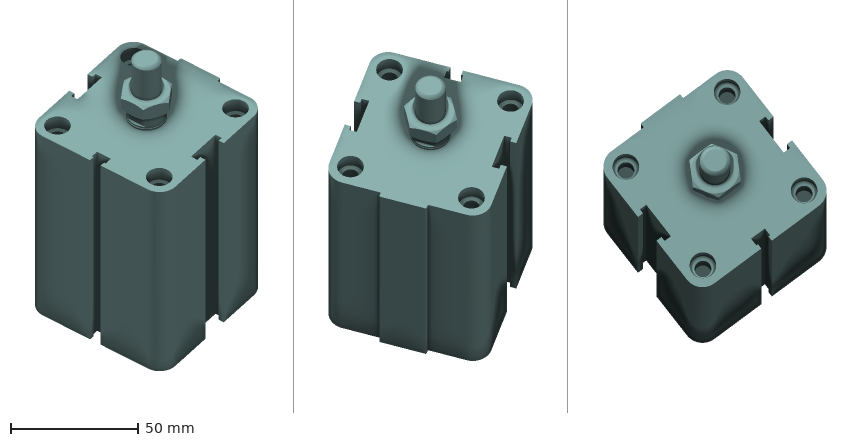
import cadquery as cq
import math


HOUSING_SIDE = 67.0
CORNER_RADIUS = 7.7
HALF_SIDE = HOUSING_SIDE / 2
CAP_HEIGHT = 14.4
BARREL_HEIGHT = 66.6
HOUSING_HEIGHT = BARREL_HEIGHT + 2 * CAP_HEIGHT

RAIL_WIDTH = 19.5
RAIL_HEIGHT = 2.0
RAIL_EDGE_RADIUS = 0.5

SIDE_SLOT = {"mouth": 12.0, "width": 16.0, "lip": 2.5, "depth": 5.6}
FRONT_SLOT = {"mouth": 5.2, "width": 6.8, "lip": 2.2, "depth": 5.6}

HOLE_SPACING = 50.0
COUNTERBORE_DIAMETER = 10.5
COUNTERBORE_DEPTH = 6.2
SCREW_HOLE_DIAMETER = 6.65

ROD_DIAMETER = 16.0
NECK_DIAMETER = 15.6
NECK_START = 1.0
NECK_CHAMFER = (ROD_DIAMETER - NECK_DIAMETER) / 2
FLATS_ACROSS = 13.0
FLATS_START = 1.8
SHOULDER_HEIGHT = 7.5
STUD_DIAMETER = 12.0
STUD_TIP_DIAMETER = 9.0
STUD_TIP_HEIGHT = 1.2
STUD_TIP_RADIUS = 3.0
ROD_HEIGHT = 31.4

NUT_ACROSS_FLATS = 19.0
NUT_THICKNESS = 7.0
NUT_ACROSS_CORNERS = NUT_ACROSS_FLATS / math.cos(math.pi / 6)
NUT_FACE_DIAMETER = 18.8
NUT_COUNTERSINK = 0.25
NUT_COUNTERSINK_ANGLE = 90
NUT_CHAMFER_ANGLE = math.radians(30)


def t_slot(mouth, width, lip, depth, angle):
    """T-slot cutter for the -Y face, turned about Z to another face by angle."""
    neck = cq.Workplane("XY").box(mouth, depth, HOUSING_HEIGHT, centered=(True, False, False))
    head = (
        cq.Workplane("XY")
        .box(width, depth - lip, HOUSING_HEIGHT, centered=(True, False, False))
        .translate((0, lip, 0))
    )
    cutter = neck.union(head).translate((0, -HALF_SIDE, 0))
    return cutter.rotate((0, 0, 0), (0, 0, 1), angle)


def profile_section(bottom, height):
    """Length of the slotted housing profile from Z = bottom."""
    block = (
        cq.Workplane("XY", origin=(0, 0, bottom))
        .rect(HOUSING_SIDE, HOUSING_SIDE)
        .extrude(height)
        .edges("|Z")
        .fillet(CORNER_RADIUS)
    )
    rail = (
        cq.Workplane("XY", origin=(0, 0, bottom))
        .rect(RAIL_WIDTH, HOUSING_SIDE + 2 * RAIL_HEIGHT)
        .extrude(height)
        .edges("|Z")
        .fillet(RAIL_EDGE_RADIUS)
        .intersect(
            cq.Workplane("XY", origin=(0, 0, bottom))
            .box(RAIL_WIDTH, HOUSING_SIDE, height, centered=(True, False, False))
        )
    )
    section = block.union(rail)
    section = section.cut(t_slot(**FRONT_SLOT, angle=0))
    for angle in (-90, 90):
        section = section.cut(t_slot(**SIDE_SLOT, angle=angle))
    return section


def make_housing():
    """Bottom cap, barrel and top cap as one solid, keeping the seams between them."""
    housing = profile_section(0, CAP_HEIGHT)
    housing = housing.union(profile_section(CAP_HEIGHT, BARREL_HEIGHT), clean=False)
    top_cap = (
        profile_section(CAP_HEIGHT + BARREL_HEIGHT, CAP_HEIGHT)
        .faces(">Z")
        .workplane(origin=(0, 0, HOUSING_HEIGHT))
        .rect(HOLE_SPACING, HOLE_SPACING, forConstruction=True)
        .vertices()
        .cboreHole(SCREW_HOLE_DIAMETER, COUNTERBORE_DIAMETER, COUNTERBORE_DEPTH, CAP_HEIGHT)
    )
    return housing.union(top_cap, clean=False)


def make_rod():
    """Rod standing on the housing, with wrench flats and a crowned stud end."""
    rod = (
        cq.Workplane("XY")
        .circle(ROD_DIAMETER / 2)
        .extrude(NECK_START)
        .faces(">Z")
        .chamfer(NECK_CHAMFER)
    )
    neck = cq.Workplane("XY").circle(NECK_DIAMETER / 2).extrude(SHOULDER_HEIGHT)
    flats = (
        cq.Workplane("XY", origin=(0, 0, FLATS_START))
        .rect(ROD_DIAMETER, ROD_DIAMETER)
        .rect(ROD_DIAMETER, FLATS_ACROSS)
        .extrude(SHOULDER_HEIGHT - FLATS_START)
    )
    stud = (
        cq.Workplane("XZ")
        .lineTo(STUD_DIAMETER / 2, 0)
        .lineTo(STUD_DIAMETER / 2, ROD_HEIGHT - STUD_TIP_HEIGHT)
        .radiusArc((STUD_TIP_DIAMETER / 2, ROD_HEIGHT), -STUD_TIP_RADIUS)
        .lineTo(0, ROD_HEIGHT)
        .close()
        .revolve()
    )
    rod = rod.union(neck.cut(flats)).union(stud)
    return rod.translate((0, 0, HOUSING_HEIGHT))


def make_nut():
    """Hexagon nut with its corners turned off conically on both faces."""
    corner_radius = NUT_ACROSS_CORNERS / 2
    face_radius = NUT_FACE_DIAMETER / 2
    chamfer_height = (corner_radius - face_radius) * math.tan(NUT_CHAMFER_ANGLE)
    turned_blank = (
        cq.Workplane("XY")
        .circle(corner_radius)
        .extrude(NUT_THICKNESS)
        .faces("<Z or >Z")
        .chamfer(chamfer_height, corner_radius - face_radius)
    )
    nut = (
        cq.Workplane("XY")
        .polygon(6, NUT_ACROSS_CORNERS)
        .extrude(NUT_THICKNESS)
        .intersect(turned_blank)
        .faces(">Z")
        .workplane(origin=(0, 0, NUT_THICKNESS))
        .cskHole(STUD_DIAMETER, STUD_DIAMETER + 2 * NUT_COUNTERSINK, NUT_COUNTERSINK_ANGLE)
    )
    return nut.translate((0, 0, HOUSING_HEIGHT + SHOULDER_HEIGHT))


housing = make_housing()
rod = make_rod()
nut = make_nut()

result = cq.Compound.makeCompound([housing.val(), rod.val(), nut.val()])